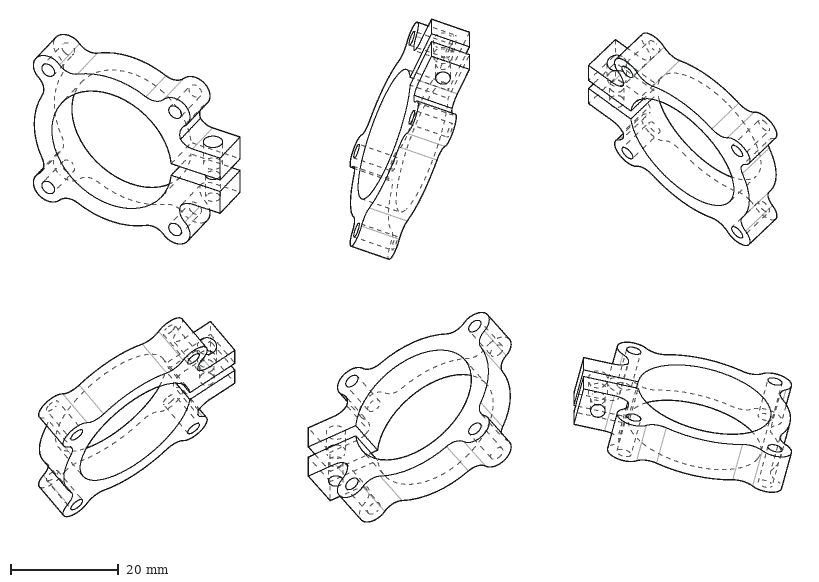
import cadquery as cq
import math

length = 39.7
thickness = 7.62

bore_radius = 12.7
ring_radius = 16.48

lug_radius = 3.18
lug_span = 33.3
lug_reach = lug_span / 2
lug_offset = lug_reach - lug_radius
lug_hole_diameter = 2.7
neck_radius = 3.18

ear_end = length - lug_reach
ear_height = 6.35
slit_width = 2.65

screw_to_end = 3.65
screw_clearance_diameter = 3.57
screw_thread_diameter = 2.7

origin = (0.0, 0.0)
right_lug = (lug_offset, lug_offset)
left_lug = (-lug_offset, lug_offset)


def toward(start, target, distance):
    """Point at a distance from start, in the direction of target."""
    scale = distance / math.dist(start, target)
    return (
        start[0] + (target[0] - start[0]) * scale,
        start[1] + (target[1] - start[1]) * scale,
    )


def midpoint(first, second):
    """Point halfway between two points."""
    return ((first[0] + second[0]) / 2, (first[1] + second[1]) / 2)


def neck_center(angle):
    """Centre (X, Z) of a ring-to-lug blend at a polar angle in degrees."""
    reach = ring_radius + neck_radius
    return (reach * math.cos(math.radians(angle)), reach * math.sin(math.radians(angle)))


def arc_to(outline, center, radius, via, end):
    """Add an arc about center that passes on the side of via and stops at end."""
    return outline.threePointArc(toward(center, via, radius), end)


def add_neck(outline, center, lug, end):
    """Add the concave blend between the ring and a lug."""
    ring_touch = toward(center, origin, neck_radius)
    lug_touch = toward(center, lug, neck_radius)
    return arc_to(outline, center, neck_radius, midpoint(ring_touch, lug_touch), end)


def neck_half_angle():
    """Angle at the ring centre between a lug and its neighbouring blend, in degrees."""
    to_lug = math.dist(origin, right_lug)
    to_neck = ring_radius + neck_radius
    lug_to_neck = lug_radius + neck_radius
    cosine = (to_lug**2 + to_neck**2 - lug_to_neck**2) / (2 * to_lug * to_neck)
    return math.degrees(math.acos(cosine))


def upper_half_body():
    """Ring disc, two lugs and one ear above the slit mid-plane."""
    spread = neck_half_angle()
    right_neck = neck_center(45 + spread)
    left_neck = neck_center(135 - spread)
    lower_left_neck = neck_center(135 + spread)
    ear_neck = neck_center(45 - spread)

    blend_z = ear_height + neck_radius
    blend_x = math.sqrt((ring_radius + neck_radius) ** 2 - blend_z**2)
    ear_blend = (blend_x, blend_z)

    crease_base = midpoint(ear_blend, ear_neck)
    crease_depth = math.sqrt(neck_radius**2 - math.dist(crease_base, ear_blend) ** 2)
    crease = toward(crease_base, origin, crease_depth)

    outline = (
        cq.Workplane("XZ")
        .moveTo(*origin)
        .lineTo(ear_end, 0)
        .lineTo(ear_end, ear_height)
        .lineTo(blend_x, ear_height)
    )
    outline = arc_to(outline, ear_blend, neck_radius, midpoint((blend_x, ear_height), crease), crease)
    lug_start = toward(right_lug, ear_neck, lug_radius)
    outline = arc_to(outline, ear_neck, neck_radius, midpoint(crease, lug_start), lug_start)

    right_tip = (ear_end, ear_end)
    outline = arc_to(outline, right_lug, lug_radius, right_tip, toward(right_lug, right_neck, lug_radius))
    top = (0, ring_radius)
    outline = add_neck(outline, right_neck, right_lug, toward(origin, right_neck, ring_radius))
    outline = arc_to(outline, origin, ring_radius, top, toward(origin, left_neck, ring_radius))

    left_tip = (-ear_end, ear_end)
    outline = add_neck(outline, left_neck, left_lug, toward(left_lug, left_neck, lug_radius))
    outline = arc_to(outline, left_lug, lug_radius, left_tip, toward(left_lug, lower_left_neck, lug_radius))
    outline = add_neck(outline, lower_left_neck, left_lug, toward(origin, lower_left_neck, ring_radius))
    side_middle = (lower_left_neck[0], lower_left_neck[1] / 2)
    outline = arc_to(outline, origin, ring_radius, side_middle, (-ring_radius, 0))
    return outline.close().extrude(thickness / 2, both=True)


def bore_and_slit():
    """Through bore and the slit that opens it between the ears."""
    bore = cq.Workplane("XZ").circle(bore_radius).extrude(thickness, both=True)
    slit = cq.Workplane("XY").box(
        ear_end, thickness, slit_width, centered=(False, True, True)
    )
    return bore.union(slit)


def lug_holes():
    """Through holes in the four lugs."""
    return (
        cq.Workplane("XZ")
        .rect(2 * lug_offset, 2 * lug_offset, forConstruction=True)
        .vertices()
        .circle(lug_hole_diameter / 2)
        .extrude(thickness, both=True)
    )


def screw_hole():
    """Clearance hole in the upper ear and thread hole in the lower ear."""
    axis = cq.Workplane("XY").center(ear_end - screw_to_end, 0)
    clearance = axis.circle(screw_clearance_diameter / 2).extrude(ear_height)
    thread = axis.circle(screw_thread_diameter / 2).extrude(-ear_height)
    return clearance.union(thread)


upper_half = upper_half_body()
body = upper_half.union(upper_half.mirror("XY"))
result = body.cut(bore_and_slit()).cut(lug_holes()).cut(screw_hole())